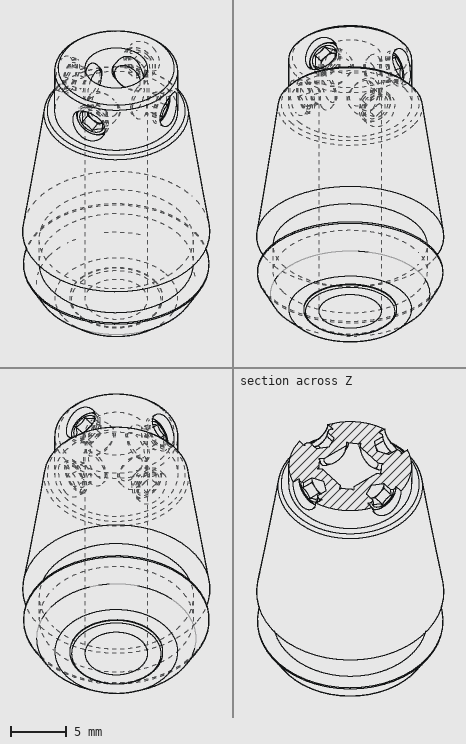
import cadquery as cq
import math

total_height = 27

neck_radius = 11.02 / 2
neck_base_z = 22.0
neck_chamfer = 0.32

sleeve_top_radius = 12.93 / 2
sleeve_chamfer = 0.3
sleeve_radius = 16.77 / 2
sleeve_widest_z = 7.9

groove_radius = 13.8 / 2
groove_top_z = 7.02
groove_bottom_z = 4.2

flange_radius = 16.6 / 2
flange_rim_height = 0.15
flange_step_radius = 7.13
flange_step_z = 1.85
flange_base_radius = 11.0 / 2
flange_base_z = 0.25
nose_radius = 4.15
nose_chamfer = 0.15

bore_radius = 5.6 / 2

screw_count = 4
screw_z = 24.3
screw_hole_diameter = 3.25
screw_tip_distance = 2.15
screw_head_distance = 4.67
screw_diameter = 4.0
screw_tip_diameter = 2.6
screw_tip_taper_length = (screw_diameter - screw_tip_diameter) / 2
screw_head_chamfer = 0.5
socket_flat_width = 2.0
socket_depth = 1.08
socket_rim_diameter = 2.48
socket_rim_depth = 0.14
socket_cone_depth = 0.55
socket_sides = 6
socket_corner_diameter = socket_flat_width / math.cos(math.pi / socket_sides)


def body():
    """Turned body with its bore, profiled from the bottom of the bore around the outside to its top."""
    profile = [
        (bore_radius, 0),
        (nose_radius - nose_chamfer, 0),
        (nose_radius, nose_chamfer),
        (nose_radius, flange_base_z),
        (flange_base_radius, flange_base_z),
        (flange_step_radius, flange_step_z),
        (flange_radius, groove_bottom_z - flange_rim_height),
        (flange_radius, groove_bottom_z),
        (groove_radius, groove_bottom_z),
        (groove_radius, groove_top_z),
        (sleeve_radius, sleeve_widest_z),
        (sleeve_top_radius, neck_base_z - sleeve_chamfer),
        (sleeve_top_radius - sleeve_chamfer, neck_base_z),
        (neck_radius, neck_base_z),
        (neck_radius, total_height - neck_chamfer),
        (neck_radius - neck_chamfer, total_height),
        (bore_radius, total_height),
    ]
    return cq.Workplane("XZ").polyline(profile).close().revolve(360, (0, 0), (0, 1))


def radial_plane(distance):
    """Workplane facing +X at the given distance from the axis, at screw height."""
    return cq.Workplane("YZ", origin=(distance, 0, screw_z))


def screw_hole():
    """Hole along +X from the axis out through the neck wall."""
    return radial_plane(0).circle(screw_hole_diameter / 2).extrude(2 * neck_radius)


def cone(start, depth, diameter, end_diameter):
    """Cone running inwards from the given distance."""
    solid = cq.Solid.makeCone(
        diameter / 2, end_diameter / 2, depth, cq.Vector(start, 0, screw_z), cq.Vector(-1, 0, 0)
    )
    return cq.Workplane(solid)


def set_screw():
    """Screw along +X, wider than its hole and so joined to the wall, with a tapered tip
    and a hexagon socket ending in a cone.
    """
    taper_end = screw_tip_distance + screw_tip_taper_length
    shank_length = screw_head_distance - taper_end
    shank = radial_plane(taper_end).circle(screw_diameter / 2).extrude(shank_length)
    shank = shank.faces(">X").chamfer(screw_head_chamfer)
    tip = cone(taper_end, screw_tip_taper_length, screw_diameter, screw_tip_diameter)
    socket_end = screw_head_distance - socket_depth
    socket = (
        radial_plane(socket_end)
        .transformed(rotate=(0, 0, 90))
        .polygon(socket_sides, socket_corner_diameter)
        .extrude(socket_depth)
    )
    rim = cone(screw_head_distance, socket_rim_depth, socket_rim_diameter, socket_flat_width)
    drill_point = cone(socket_end, socket_cone_depth, socket_flat_width, 0)
    return shank.union(tip).cut(socket).cut(rim).cut(drill_point)


def around_axis(shape, index):
    return shape.rotate((0, 0, 0), (0, 0, 1), index * 360 / screw_count)


result = body()
for index in range(screw_count):
    result = result.cut(around_axis(screw_hole(), index))
    result = result.union(around_axis(set_screw(), index))